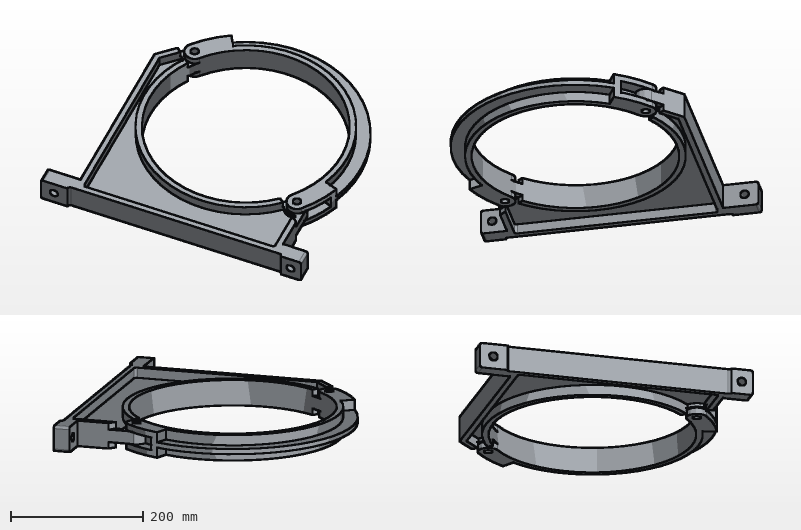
import cadquery as cq
import math


thickness = 40.0
bore_radius = 157.0
outer_radius = 189.0
rim_wall = 10.0
rim_radius = bore_radius + rim_wall
web_thickness = 8.0

hinge_angle = 140.0
hinge_radius = (bore_radius + outer_radius) / 2
knuckle_radius = (outer_radius - bore_radius) / 2
knuckle_clearance = 4.08
boss_radius = knuckle_radius + knuckle_clearance
hinge_hole_diameter = 12.5
tongue_thickness = 19.7

arm_angle = 20.0
slot_angle = 16.5

base_left = -186.0
base_bottom = -220.5
chamfer_angle = 44.0
pocket_corner_radius = 4.0

feet_left = -240.5
feet_right = outer_radius
feet_top = -200.0
foot_step = 4.5
feet_bottom = base_bottom - foot_step
left_step_x = -196.5
right_step_x = 155.5
foot_edge_radius = 4.0
foot_hole_diameter = 13.0
left_hole_x = feet_left + 21.5
right_hole_x = feet_right - 17.5

hinge_x = hinge_radius * math.cos(math.radians(hinge_angle))
hinge_y = hinge_radius * math.sin(math.radians(hinge_angle))
base_right = -hinge_x + knuckle_radius
reach = 2 * outer_radius


def slab(height):
    """Workplane from which an extrusion by height is centred on Z = 0."""
    return cq.Workplane("XY").workplane(offset=-height / 2)


def disc(radius, height, x=0, y=0):
    return slab(height).center(x, y).circle(radius).extrude(height)


def block(x_min, x_max, y_min, y_max, height):
    return slab(height).center(x_min, y_min).rect(x_max - x_min, y_max - y_min, centered=False).extrude(height)


def outside_layer(shape, core_thickness):
    """The parts of a shape above and below a core layer centred on Z = 0."""
    return shape.cut(block(-reach, reach, -reach, reach, core_thickness))


def turn_to_hinge_line(shape):
    """Turn a shape whose hinge line lies along X into place."""
    return shape.rotate((0, 0, 0), (0, 0, 1), hinge_angle - 180)


def base_profile(inset, height):
    """Base outline moved inwards by inset, closed through the hinges and the bore axis."""
    slope = math.radians(chamfer_angle)
    left = base_left + inset
    right = base_right - inset
    tangent_x = hinge_x - (knuckle_radius - inset) * math.sin(slope)
    tangent_y = hinge_y + (knuckle_radius - inset) * math.cos(slope)
    corner_y = tangent_y - (tangent_x - left) * math.tan(slope)
    bottom = base_bottom + inset
    outline = [
        (left, bottom),
        (left, corner_y),
        (tangent_x, tangent_y),
        (hinge_x, hinge_y),
        (0, 0),
        (-hinge_x, -hinge_y),
        (right, -hinge_y),
        (right, bottom),
    ]
    return slab(height).polyline(outline).close().extrude(height)


def make_feet():
    feet = (
        slab(thickness)
        .moveTo(feet_left, feet_bottom)
        .lineTo(left_step_x, feet_bottom)
        .radiusArc((left_step_x + foot_step, base_bottom), foot_step)
        .lineTo(right_step_x - foot_step, base_bottom)
        .radiusArc((right_step_x, feet_bottom), foot_step)
        .lineTo(feet_right, feet_bottom)
        .lineTo(feet_right, feet_top)
        .lineTo(feet_left, feet_top)
        .close()
        .extrude(thickness)
    )
    feet = feet.edges("|Y and (<X or >X)").fillet(foot_edge_radius)
    holes = (
        cq.Workplane("XZ", origin=(0, feet_top, 0))
        .pushPoints([(left_hole_x, 0), (right_hole_x, 0)])
        .circle(foot_hole_diameter / 2)
        .extrude(feet_top - feet_bottom)
    )
    return feet.cut(holes)


def make_pocket():
    """Recess between the outer wall, the rim around the bore and the hinge bosses."""
    pocket = base_profile(rim_wall, thickness)
    pocket = pocket.edges("|Z and <Y").fillet(pocket_corner_radius)
    pocket = pocket.cut(disc(rim_radius, thickness))
    pocket = pocket.cut(disc(boss_radius, thickness, hinge_x, hinge_y))
    pocket = pocket.cut(disc(boss_radius, thickness, -hinge_x, -hinge_y))
    right_boss = block(-hinge_x, base_right, -hinge_y - boss_radius, 0, thickness)
    return outside_layer(pocket.cut(right_boss), web_thickness)


def make_base():
    base = base_profile(0, thickness)
    for side in (1, -1):
        base = base.union(disc(knuckle_radius, thickness, side * hinge_x, side * hinge_y))
    relief = turn_to_hinge_line(block(-reach, reach, -boss_radius, reach, thickness))
    base = base.cut(outside_layer(relief, tongue_thickness))
    base = base.union(make_feet())
    return base.cut(make_pocket()).cut(disc(bore_radius, thickness))


def sector(start_angle, end_angle, height):
    """Wedge about the bore axis, wider than the ring, spanning under 180 degrees."""
    angles = (start_angle, (start_angle + end_angle) / 2, end_angle)
    corners = [(reach * math.cos(math.radians(a)), reach * math.sin(math.radians(a))) for a in angles]
    return slab(height).polyline([(0, 0)] + corners).close().extrude(height)


def make_cap():
    """Half ring with a thin web along its outside and a forked arm at each hinge."""
    cap = disc(outer_radius, thickness).intersect(block(-reach, reach, 0, reach, thickness))
    cap = cap.cut(disc(bore_radius, thickness))
    for side in (1, -1):
        cap = cap.union(disc(knuckle_radius, thickness, side * hinge_radius, 0))

    rim = disc(rim_radius, thickness)
    recess = sector(arm_angle, 180 - arm_angle, thickness).cut(rim)
    cap = cap.cut(outside_layer(recess, web_thickness))

    right_slot = sector(-slot_angle, slot_angle, tongue_thickness).cut(rim)
    for slot in (right_slot, right_slot.mirror("YZ")):
        cap = cap.cut(slot)
    return turn_to_hinge_line(cap)


def make_hinge_holes():
    left_hole = disc(hinge_hole_diameter / 2, thickness, hinge_x, hinge_y)
    return left_hole.union(disc(hinge_hole_diameter / 2, thickness, -hinge_x, -hinge_y))


result = make_base().union(make_cap()).cut(make_hinge_holes())